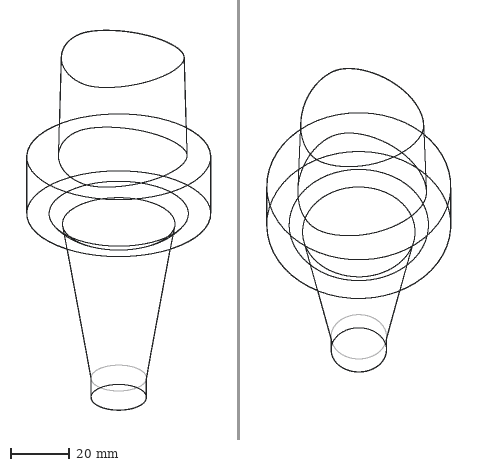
import cadquery as cq
import math

total_height = 131.0
shank_height = 38.0
flange_height = 22.0
nose_height = 7.5
neck_top = 67.1
flange_top = total_height - shank_height
flange_bottom = flange_top - flange_height

flange_diameter = 63.0
nose_diameter = 19.0
neck_diameter = 38.5
collar_diameter = 47.7
collar_middle_diameter = 43.0
collar_middle_height = 68.5

shank_base_width = 44.0
width_taper = 1 / 20
shank_top_width = shank_base_width - shank_height * width_taper
lobe_offset = 1.4
outline_points = 72


def lobed_outline(width):
    """Points of a constant-width three-lobed curve with one lobe towards -Y."""
    points = []
    for i in range(outline_points):
        angle = 2 * math.pi * i / outline_points - math.pi / 2
        reach = width / 2 + lobe_offset * math.sin(3 * angle)
        slope = 3 * lobe_offset * math.cos(3 * angle)
        x = reach * math.cos(angle) - slope * math.sin(angle)
        y = reach * math.sin(angle) + slope * math.cos(angle)
        points.append((x, y))
    return points


def make_body():
    """Nose, conical neck, collar and flange, revolved about Z."""
    return (
        cq.Workplane("XZ")
        .moveTo(0, 0)
        .lineTo(nose_diameter / 2, 0)
        .lineTo(nose_diameter / 2, nose_height)
        .lineTo(neck_diameter / 2, neck_top)
        .threePointArc(
            (collar_middle_diameter / 2, collar_middle_height),
            (collar_diameter / 2, flange_bottom),
        )
        .lineTo(flange_diameter / 2, flange_bottom)
        .lineTo(flange_diameter / 2, flange_top)
        .lineTo(0, flange_top)
        .close()
        .revolve(360, (0, 0), (0, 1))
    )


def make_shank():
    """Tapered three-lobed shank standing on the flange."""
    return (
        cq.Workplane("XY", origin=(0, 0, flange_top))
        .spline(lobed_outline(shank_base_width), periodic=True)
        .wire()
        .workplane(offset=shank_height)
        .spline(lobed_outline(shank_top_width), periodic=True)
        .wire()
        .loft(ruled=True)
    )


result = make_body().union(make_shank())